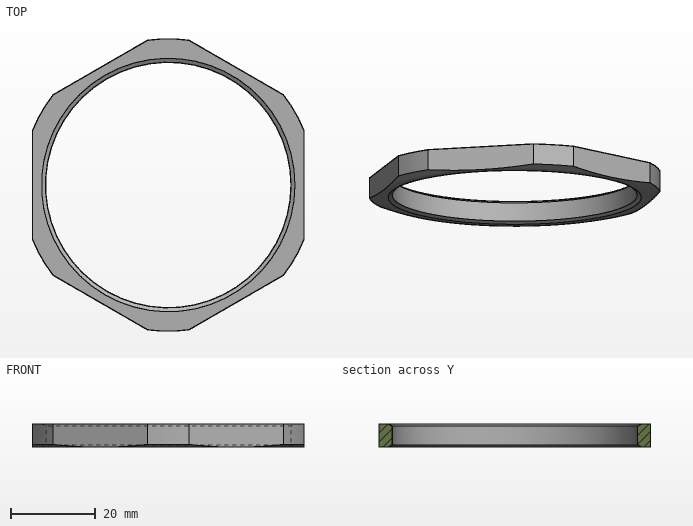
import cadquery as cq
import math

across_flats = 64.0
corner_diameter = 69.0
thickness = 5.5
bore_diameter = 57.8
bore_chamfer_width = 1.0
bore_chamfer_angle = 30.0
corner_bevel_angle = 15.0

corner_radius = corner_diameter / 2
bevel_start_radius = across_flats / 2
bevel_height = (corner_radius - bevel_start_radius) * math.tan(math.radians(corner_bevel_angle))


def hexagonal_blank():
    """Hexagonal prism with flats facing +X and -X."""
    across_corners = across_flats / math.cos(math.radians(30))
    return (
        cq.Workplane("XY")
        .polygon(6, across_corners)
        .extrude(thickness)
        .rotate((0, 0, 0), (0, 0, 1), 30)
    )


def corner_envelope():
    """Turned disc that rounds the hexagon corners and bevels their lower edges."""
    return (
        cq.Workplane("XZ")
        .moveTo(0, 0)
        .lineTo(bevel_start_radius, 0)
        .lineTo(corner_radius, bevel_height)
        .lineTo(corner_radius, thickness)
        .lineTo(0, thickness)
        .close()
        .revolve(360, (0, 0, 0), (0, 1, 0))
    )


def chamfered_bore():
    """Through bore that widens at both faces."""
    bore_radius = bore_diameter / 2
    mouth_radius = bore_radius + bore_chamfer_width
    chamfer_depth = bore_chamfer_width * math.tan(math.radians(bore_chamfer_angle))
    return (
        cq.Workplane("XZ")
        .moveTo(0, 0)
        .lineTo(mouth_radius, 0)
        .lineTo(bore_radius, chamfer_depth)
        .lineTo(bore_radius, thickness - chamfer_depth)
        .lineTo(mouth_radius, thickness)
        .lineTo(0, thickness)
        .close()
        .revolve(360, (0, 0, 0), (0, 1, 0))
    )


result = hexagonal_blank().intersect(corner_envelope()).cut(chamfered_bore())